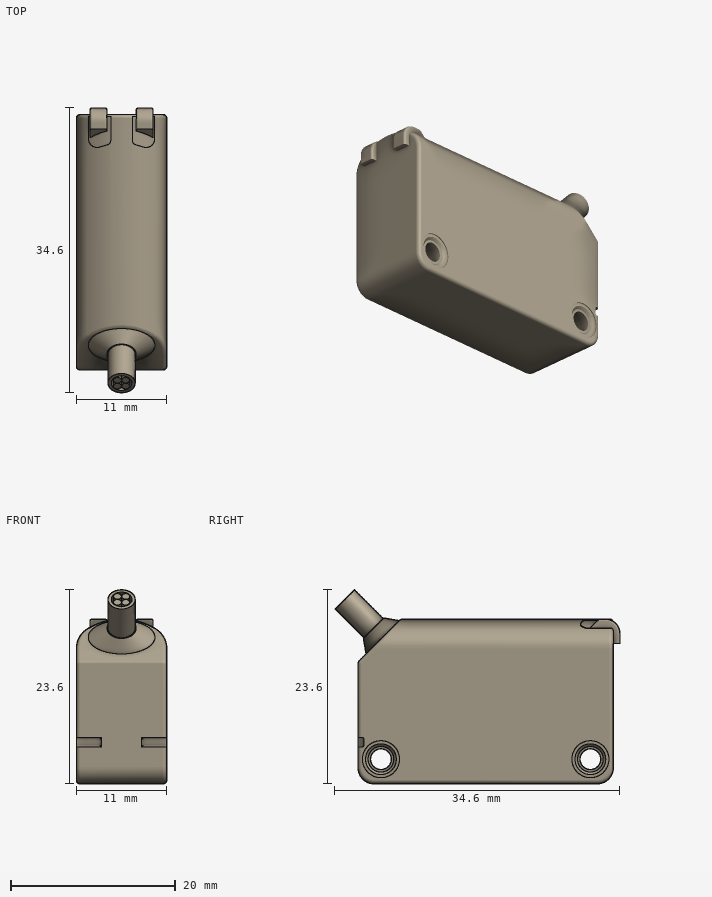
import cadquery as cq
import math


overall_length = 34.55

width = 11.0
length = 31.0
height = 20.0
dome_radius = 7.8
shoulder_radius = 2.8
bottom_corner_radius = 2.0
edge_radius = 0.5
slope_foot_height = 14.8

slot_inner_x = 2.42
slot_bottom = 4.5
slot_height = 1.15
slot_depth = 0.73
slot_floor_radius = 0.2

hole_end_distance = 2.8
hole_height = 3.0
sleeve_radius = 2.25
sleeve_recess = 0.15
sleeve_bore_radius = 1.25
countersink_mouth_radius = 1.85
countersink_floor_radius = 1.55
countersink_depth = 0.3

hook_width = 2.07
hook_centre_x = 2.8
hook_bend_radius = 1.8
hook_foot_height = 17.05
hook_flat_length = 0.75
hook_edge_radius = 0.28
hook_root_height = 17.28
hook_leg_inner_inset = 0.7

pocket_inner_x = 1.3
pocket_outer_x = 4.0
pocket_inner_end_y = 27.43
pocket_outer_end_y = 26.65
pocket_inner_corner_radius = 0.52
pocket_outer_corner_radius = 1.05
pocket_depth = 0.052

boot_half_width = 4.05
boot_half_rise = 2.87
boot_tip_radius = 1.75
boot_height = 1.55
boot_root_depth = 0.35
cable_axis_y = 3.0

jacket_radius = 1.65
jacket_bore_radius = 1.25
cable_length = 4.95
wire_radius = 0.5
wire_spacing = 1.0

half_width = width / 2
cable_front_y = cable_axis_y - (boot_height + cable_length + jacket_radius) * math.sqrt(0.5)
hook_rear_y = cable_front_y + overall_length
hole_ys = (hole_end_distance, length - hole_end_distance)


def cable_plane(distance):
    """Plane square to the cable axis, this far out from the sloping face; local X is the part's X."""
    step = distance * math.sqrt(0.5)
    origin = (0, cable_axis_y - step, slope_foot_height + cable_axis_y + step)
    return cq.Plane(origin=origin, xDir=(1, 0, 0), normal=(0, -1, 1))


def domed_block():
    """Block of full length whose top is a wide arc running tangentially into two shoulder arcs."""
    dome_centre_z = height - dome_radius
    shoulder_x = half_width - shoulder_radius
    lean = math.asin(shoulder_x / (dome_radius - shoulder_radius))
    shoulder_z = dome_centre_z + (dome_radius - shoulder_radius) * math.cos(lean)
    tangent_x = dome_radius * math.sin(lean)
    tangent_z = dome_centre_z + dome_radius * math.cos(lean)
    middle_angle = (math.pi / 2 + lean) / 2
    middle_x = shoulder_x + shoulder_radius * math.sin(middle_angle)
    middle_z = shoulder_z + shoulder_radius * math.cos(middle_angle)
    return (
        cq.Workplane("XZ")
        .moveTo(-half_width, 0)
        .lineTo(half_width, 0)
        .lineTo(half_width, shoulder_z)
        .threePointArc((middle_x, middle_z), (tangent_x, tangent_z))
        .threePointArc((0, height), (-tangent_x, tangent_z))
        .threePointArc((-middle_x, middle_z), (-half_width, shoulder_z))
        .close()
        .extrude(-length)
    )


def slope_cutter():
    """Wedge that removes the front top corner at 45 degrees."""
    leg = height - slope_foot_height
    return (
        cq.Workplane("YZ")
        .polyline([(0, slope_foot_height), (leg, height), (0, height)])
        .close()
        .extrude(half_width, both=True)
    )


def is_sharp(edge):
    """True for the edges to round: not the tangent lines along the dome or across the bottom corners."""
    is_line = edge.geomType() == "LINE"
    direction = edge.tangentAt(0.5)
    middle_z = edge.Center().z
    along_dome = is_line and abs(direction.y) > 0.99 and middle_z > bottom_corner_radius
    across_bottom = is_line and abs(direction.x) > 0.99 and middle_z < bottom_corner_radius + edge_radius
    return not (along_dome or across_bottom)


def shell_block():
    """Domed block with rounded bottom corners, sloping cable face and rounded outer edges."""
    block = domed_block().edges("|X and <Z").fillet(bottom_corner_radius).cut(slope_cutter())
    sharp_edges = [edge for edge in block.edges().vals() if is_sharp(edge)]
    return block.newObject(sharp_edges).fillet(edge_radius)


def slot_cutter(side):
    """Box centred on a front corner that cuts one slot, with a rounded floor."""
    slot_length = half_width - slot_inner_x
    return (
        cq.Workplane("XY")
        .box(2 * slot_length, 2 * slot_depth, slot_height)
        .edges(">Y")
        .fillet(slot_floor_radius)
        .translate((side * half_width, 0, slot_bottom + slot_height / 2))
    )


def hole_cutter(hole_y):
    """Cylinder along X for one mounting hole, right through the housing."""
    return (
        cq.Workplane("YZ")
        .center(hole_y, hole_height)
        .circle(sleeve_radius)
        .extrude(half_width, both=True)
    )


def hook(centre_x):
    """Hook that comes over the rear top edge and ends in a 45 degree ramp on the dome."""
    bend_y = hook_rear_y - hook_bend_radius
    bend_z = height - hook_bend_radius
    bend_offset = hook_bend_radius * math.sqrt(0.5)
    ramp_y = bend_y - hook_flat_length
    leg_inner_y = length - hook_leg_inner_inset
    blank = (
        cq.Workplane("YZ")
        .moveTo(leg_inner_y, hook_foot_height)
        .lineTo(hook_rear_y, hook_foot_height)
        .lineTo(hook_rear_y, bend_z)
        .threePointArc((bend_y + bend_offset, bend_z + bend_offset), (bend_y, height))
        .lineTo(ramp_y, height)
        .lineTo(ramp_y - (height - hook_root_height), hook_root_height)
        .lineTo(leg_inner_y, hook_root_height)
        .close()
        .extrude(hook_width / 2, both=True)
    )
    flat_edges = [
        edge
        for face in (blank.faces(">Y").val(), blank.faces(">Z").val())
        for edge in face.Edges()
        if abs(edge.tangentAt(0.5).x) < 0.5
    ]
    bend_edges = blank.edges("%CIRCLE").vals()
    return blank.newObject(flat_edges + bend_edges).fillet(hook_edge_radius).translate((centre_x, 0, 0))


def pocket_cutter():
    """Pocket on the +X side, open to the rear, with a slanted front end and a floor parallel to the dome."""
    outline = (
        cq.Workplane("XY", origin=(0, 0, hook_foot_height))
        .polyline(
            [
                (pocket_inner_x, hook_rear_y),
                (pocket_inner_x, pocket_inner_end_y),
                (pocket_outer_x, pocket_outer_end_y),
                (pocket_outer_x, hook_rear_y),
            ]
        )
        .close()
        .extrude(height - hook_foot_height)
        .edges("|Z and <Y")
        .fillet(pocket_outer_corner_radius)
    )
    inner_corner = cq.selectors.NearestToPointSelector((pocket_inner_x, pocket_inner_end_y, height))
    outline = outline.edges("|Z").edges(inner_corner).fillet(pocket_inner_corner_radius)
    floor = (
        cq.Workplane("XZ")
        .center(0, height - dome_radius)
        .circle(dome_radius - pocket_depth)
        .extrude(-hook_rear_y)
    )
    return outline.cut(floor)


def boot():
    """Strain relief running from an ellipse on the sloping face to a circle around the cable."""
    root = (
        cq.Workplane(cable_plane(-boot_root_depth))
        .ellipse(boot_half_width, boot_half_rise)
        .extrude(boot_root_depth)
    )
    taper = (
        cq.Workplane(cable_plane(0))
        .ellipse(boot_half_width, boot_half_rise)
        .workplane(offset=boot_height)
        .circle(boot_tip_radius)
        .loft(ruled=True)
    )
    return root.union(taper)


def make_housing():
    pocket = pocket_cutter()
    body = shell_block().union(boot()).cut(pocket).cut(pocket.mirror("YZ"))
    for side in (-1, 1):
        body = body.union(hook(side * hook_centre_x))
        body = body.cut(slot_cutter(side))
    for hole_y in hole_ys:
        body = body.cut(hole_cutter(hole_y))
    return body


def make_sleeve(hole_y):
    """Bored sleeve with a conical countersink and a flat step at each end."""
    end_x = half_width - sleeve_recess
    floor_x = end_x - countersink_depth
    return (
        cq.Workplane("XY")
        .moveTo(-end_x, sleeve_radius)
        .lineTo(end_x, sleeve_radius)
        .lineTo(end_x, countersink_mouth_radius)
        .lineTo(floor_x, countersink_floor_radius)
        .lineTo(floor_x, sleeve_bore_radius)
        .lineTo(-floor_x, sleeve_bore_radius)
        .lineTo(-floor_x, countersink_floor_radius)
        .lineTo(-end_x, countersink_mouth_radius)
        .close()
        .revolve(360, (0, 0, 0), (1, 0, 0))
        .translate((0, hole_y, hole_height))
    )


def make_jacket():
    """Cable sheath standing on the boot tip."""
    return (
        cq.Workplane(cable_plane(boot_height))
        .circle(jacket_radius)
        .circle(jacket_bore_radius)
        .extrude(cable_length)
    )


def make_wires():
    """Four wires in a square bundle, as long as the jacket."""
    wires = []
    for side in (-1, 1):
        for row in (-1, 1):
            wire = (
                cq.Workplane(cable_plane(boot_height))
                .center(side * wire_spacing / 2, row * wire_spacing / 2)
                .circle(wire_radius)
                .extrude(cable_length)
            )
            wires.append(wire)
    return wires


housing = make_housing()
sleeves = [make_sleeve(hole_y) for hole_y in hole_ys]
jacket = make_jacket()
wires = make_wires()

result = cq.Compound.makeCompound(
    [
        housing.val(),
        jacket.val(),
        *[sleeve.val() for sleeve in sleeves],
        *[wire.val() for wire in wires],
    ]
)